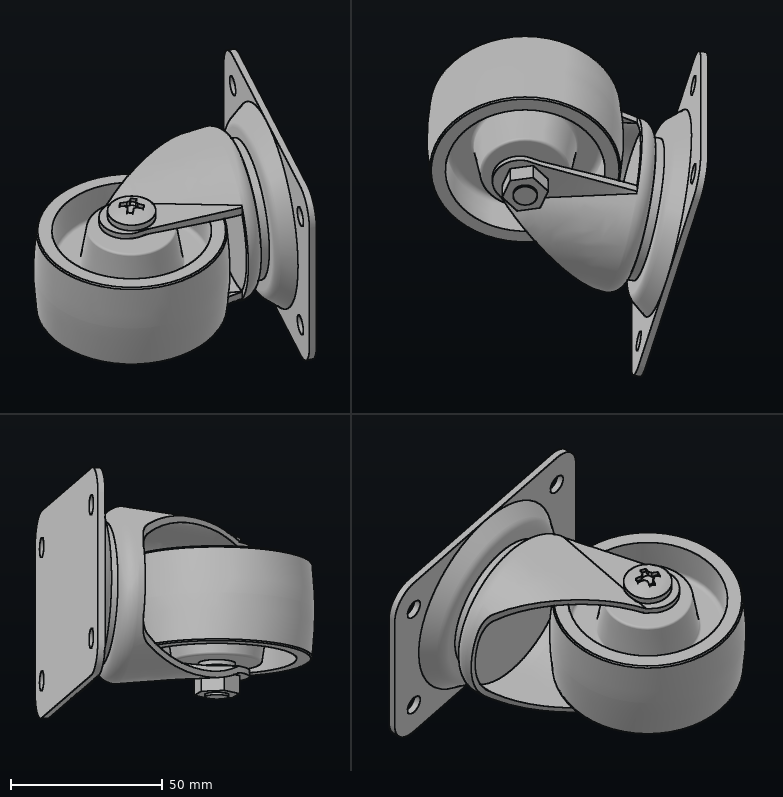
import cadquery as cq
import math


PLATE_LENGTH = 95.0
PLATE_WIDTH = 70.0
PLATE_THICKNESS = 2.5
PLATE_CORNER_RADIUS = 10.0
HOLE_SPACING_X = 75.0
HOLE_SPACING_Z = 45.0
HOLE_DIAMETER = 6.6
RACE_BASE_RADIUS = PLATE_WIDTH / 2
RACE_SHOULDER_RADIUS = 31.2
RACE_SHOULDER_DEPTH = 7.3
RACE_FACE_DEPTH = 9.0
NECK_RADIUS = 24.0

WHEEL_RADIUS = 32.5
AXLE_X = 20.0
AXLE_DEPTH = 55.5
TREAD_HALF_WIDTH = 16.0
TREAD_EDGE_RADIUS = 31.6
TREAD_CHAMFER = 0.5
RIM_INNER_RADIUS = 26.4
RIM_FLOOR_RADIUS = 26.0
RIM_FLOOR_FILLET = 1.8
WEB_HALF_THICKNESS = 3.0
HUB_FLOOR_RADIUS = 17.0
HUB_FLOOR_FILLET = 1.0
HUB_TOP_RADIUS = 15.0
HUB_HALF_WIDTH = 17.5
HUB_EDGE_FILLET = 1.0
BOSS_RADIUS = 6.1
BOSS_HALF_WIDTH = 19.1

FORK_TOP_DEPTH = 12.1
FORK_RADIUS = 29.5
FORK_TOP_FILLET = 5.5
FORK_THICKNESS = 2.1
LEG_START_DEPTH = 18.0
LEG_TIP_WALL_RADIUS = 24.4
PAD_HEIGHT = 22.0
PAD_START_DEPTH = 52.0
TIP_RADIUS = 9.2
TIP_CENTER_DEPTH = 57.2
TIP_DEPTH = TIP_CENTER_DEPTH + TIP_RADIUS
LEG_RIGHT_X = 22.6
LEFT_EDGE_DEPTH = 20.2
LEFT_EDGE_CORNER_X = -23.1
LEFT_EDGE_FILLET = 7.5
JOINT_SETBACK = 0.5

BOLT_RADIUS = 4.0
HEAD_RADIUS = 8.0
HEAD_RIM_HEIGHT = 2.3
HEAD_HEIGHT = 4.9
RECESS_ANGLE = -27.0
RECESS_REACH = 4.0
RECESS_ARM_WIDTH = 2.0
RECESS_ARM_DEPTH = 2.0
RECESS_CENTER_RADIUS = 2.1
RECESS_CONE_DEPTH = 1.0
NUT_ACROSS_FLATS = 13.4
NUT_HEIGHT = 6.1
NUT_ANGLE = 6.0
BOLT_PROTRUSION = 0.8


def tangent_point(point, center, radius, side):
    """Point where the line from an outside point touches a circle; side is +1 or -1."""
    dx = point[0] - center[0]
    dy = point[1] - center[1]
    angle = math.atan2(dy, dx) + side * math.acos(radius / math.hypot(dx, dy))
    return (center[0] + radius * math.cos(angle), center[1] + radius * math.sin(angle))


def axle_cylinder(radius, z_start, z_end):
    """Cylinder on the wheel axle."""
    return (
        cq.Workplane("XY", origin=(AXLE_X, -AXLE_DEPTH, z_start))
        .circle(radius)
        .extrude(z_end - z_start)
    )


def make_plate():
    plate = (
        cq.Workplane("XZ")
        .rect(PLATE_LENGTH, PLATE_WIDTH)
        .extrude(PLATE_THICKNESS)
        .edges("|Y")
        .fillet(PLATE_CORNER_RADIUS)
    )
    holes = (
        cq.Workplane("XZ")
        .rect(HOLE_SPACING_X, HOLE_SPACING_Z, forConstruction=True)
        .vertices()
        .circle(HOLE_DIAMETER / 2)
        .extrude(PLATE_THICKNESS)
    )
    cone_drop = RACE_SHOULDER_DEPTH - PLATE_THICKNESS
    cone_run = RACE_BASE_RADIUS - RACE_SHOULDER_RADIUS
    drop_left = RACE_FACE_DEPTH - RACE_SHOULDER_DEPTH
    setback = drop_left * math.hypot(cone_run, cone_drop) / cone_drop
    face_radius = RACE_SHOULDER_RADIUS - drop_left * cone_run / cone_drop - setback
    raceway = (
        cq.Workplane("XY")
        .moveTo(0, -PLATE_THICKNESS)
        .lineTo(RACE_BASE_RADIUS, -PLATE_THICKNESS)
        .lineTo(RACE_SHOULDER_RADIUS, -RACE_SHOULDER_DEPTH)
        .tangentArcPoint((face_radius, -RACE_FACE_DEPTH), relative=False)
        .lineTo(NECK_RADIUS, -RACE_FACE_DEPTH)
        .lineTo(NECK_RADIUS, -FORK_TOP_DEPTH)
        .lineTo(0, -FORK_TOP_DEPTH)
        .close()
        .revolve(360, (0, 0, 0), (0, 1, 0))
    )
    return plate.cut(holes).union(raceway)


def make_fork_cup():
    """Round cup at the top of the fork, open toward the wheel."""
    height = LEG_START_DEPTH - FORK_TOP_DEPTH
    return (
        cq.Workplane("XZ", origin=(0, -FORK_TOP_DEPTH, 0))
        .circle(FORK_RADIUS)
        .extrude(height)
        .faces(">Y")
        .edges()
        .fillet(FORK_TOP_FILLET)
        .faces("<Y")
        .workplane()
        .circle(FORK_RADIUS - FORK_THICKNESS)
        .cutBlind(FORK_THICKNESS - height)
    )


def leg_side_edge_x(depth):
    """X of the free edge of the legs, slanting from the cup to the tip."""
    slope = (AXLE_X + TIP_RADIUS - LEG_RIGHT_X) / (TIP_CENTER_DEPTH - LEG_START_DEPTH)
    return LEG_RIGHT_X + slope * (depth - LEG_START_DEPTH)


def leg_section(depth, inset):
    """Closed section across both legs: a round wall that runs into two flat pads."""
    progress = (depth - LEG_START_DEPTH) / (TIP_DEPTH - LEG_START_DEPTH)
    radius = FORK_RADIUS + progress * (LEG_TIP_WALL_RADIUS - FORK_RADIUS) - inset
    edge_x = leg_side_edge_x(depth)
    if depth == LEG_START_DEPTH:
        joint_x = edge_x - JOINT_SETBACK
        joint_z = math.sqrt(radius**2 - joint_x**2)
        edge_z = math.sqrt(radius**2 - edge_x**2)
    else:
        joint_z = PAD_HEIGHT - inset
        joint_x = math.sqrt(radius**2 - joint_z**2)
        edge_z = joint_z
    edge_x += inset
    return (
        cq.Workplane("XZ", origin=(0, -depth, 0))
        .moveTo(joint_x, joint_z)
        .threePointArc((-radius, 0), (joint_x, -joint_z))
        .lineTo(edge_x, -edge_z)
        .lineTo(edge_x, edge_z)
        .close()
        .val()
    )


def leg_block(inset):
    depths = (LEG_START_DEPTH, PAD_START_DEPTH, TIP_DEPTH)
    sections = [leg_section(depth, inset) for depth in depths]
    return cq.Workplane(cq.Solid.makeLoft(sections, True))


def leg_side_profile():
    """Side outline of the legs, extruded across both of them."""
    tip_center = (AXLE_X, -TIP_CENTER_DEPTH)
    corner = (LEFT_EDGE_CORNER_X, -LEFT_EDGE_DEPTH)
    right_top = (LEG_RIGHT_X, -LEG_START_DEPTH)
    tip_left = tangent_point(corner, tip_center, TIP_RADIUS, 1)
    tip_right = tangent_point(right_top, tip_center, TIP_RADIUS, -1)
    slant = math.atan2(tip_left[1] - corner[1], tip_left[0] - corner[0])
    setback = LEFT_EDGE_FILLET * math.tan(abs(slant) / 2)
    slant_start = (corner[0] + setback * math.cos(slant), corner[1] + setback * math.sin(slant))
    return (
        cq.Workplane("XY", origin=(0, 0, -FORK_RADIUS))
        .moveTo(-FORK_RADIUS, -LEG_START_DEPTH)
        .lineTo(-FORK_RADIUS, -LEFT_EDGE_DEPTH)
        .lineTo(corner[0] - setback, -LEFT_EDGE_DEPTH)
        .tangentArcPoint(slant_start, relative=False)
        .lineTo(*tip_left)
        .threePointArc((AXLE_X, -TIP_DEPTH), tip_right)
        .lineTo(*right_top)
        .close()
        .extrude(2 * FORK_RADIUS)
    )


def make_fork():
    legs = leg_block(0).cut(leg_block(FORK_THICKNESS)).intersect(leg_side_profile())
    bolt_hole = axle_cylinder(BOLT_RADIUS, -FORK_RADIUS, FORK_RADIUS)
    fork = make_fork_cup().union(legs).cut(bolt_hole)
    head_seat = axle_cylinder(HEAD_RADIUS, PAD_HEIGHT, FORK_RADIUS)
    return fork.cut(head_seat).cut(head_seat.mirror("XY"))


def wheel_half_profile():
    """Radial outline of the upper half of the wheel, in the XZ plane with the axle at X = 0."""
    floor = WEB_HALF_THICKNESS
    mid_crown_radius = WHEEL_RADIUS - (WHEEL_RADIUS - TREAD_EDGE_RADIUS) / 4
    return (
        cq.Workplane("XZ")
        .moveTo(BOLT_RADIUS, 0)
        .lineTo(BOLT_RADIUS, BOSS_HALF_WIDTH)
        .lineTo(BOSS_RADIUS, BOSS_HALF_WIDTH)
        .lineTo(BOSS_RADIUS, HUB_HALF_WIDTH)
        .lineTo(HUB_TOP_RADIUS - HUB_EDGE_FILLET, HUB_HALF_WIDTH)
        .tangentArcPoint((HUB_TOP_RADIUS, HUB_HALF_WIDTH - HUB_EDGE_FILLET), relative=False)
        .lineTo(HUB_FLOOR_RADIUS, floor + HUB_FLOOR_FILLET)
        .tangentArcPoint((HUB_FLOOR_RADIUS + HUB_FLOOR_FILLET, floor), relative=False)
        .lineTo(RIM_FLOOR_RADIUS - RIM_FLOOR_FILLET, floor)
        .tangentArcPoint((RIM_FLOOR_RADIUS, floor + RIM_FLOOR_FILLET), relative=False)
        .lineTo(RIM_INNER_RADIUS, TREAD_HALF_WIDTH)
        .lineTo(TREAD_EDGE_RADIUS - TREAD_CHAMFER, TREAD_HALF_WIDTH)
        .lineTo(TREAD_EDGE_RADIUS, TREAD_HALF_WIDTH - TREAD_CHAMFER)
        .threePointArc((mid_crown_radius, TREAD_HALF_WIDTH / 2), (WHEEL_RADIUS, 0))
        .close()
    )


def make_wheel():
    half = wheel_half_profile().revolve(360, (0, 0, 0), (0, 1, 0))
    return half.union(half.mirror("XY")).translate((AXLE_X, -AXLE_DEPTH, 0))


def make_recess():
    """Cross recess with a round center that ends in a cone, its mouth at Z = 0."""
    arm = cq.Workplane("XY").rect(2 * RECESS_REACH, RECESS_ARM_WIDTH).extrude(-RECESS_ARM_DEPTH)
    center = (
        cq.Workplane("XZ")
        .lineTo(RECESS_CENTER_RADIUS, 0)
        .lineTo(RECESS_CENTER_RADIUS, -RECESS_ARM_DEPTH)
        .lineTo(0, -RECESS_ARM_DEPTH - RECESS_CONE_DEPTH)
        .close()
        .revolve(360, (0, 0, 0), (0, 1, 0))
    )
    cross = arm.union(arm.rotate((0, 0, 0), (0, 0, 1), 90)).union(center)
    return cross.rotate((0, 0, 0), (0, 0, 1), RECESS_ANGLE)


def make_bolt():
    nut_face = -(PAD_HEIGHT + NUT_HEIGHT)
    shank = axle_cylinder(BOLT_RADIUS, nut_face - BOLT_PROTRUSION, PAD_HEIGHT)
    dome_rise = HEAD_HEIGHT - HEAD_RIM_HEIGHT
    dome_radius = (HEAD_RADIUS**2 + dome_rise**2) / (2 * dome_rise)
    half_radius = HEAD_RADIUS / 2
    half_drop = dome_radius - math.sqrt(dome_radius**2 - half_radius**2)
    head = (
        cq.Workplane("XZ")
        .lineTo(HEAD_RADIUS, 0)
        .lineTo(HEAD_RADIUS, HEAD_RIM_HEIGHT)
        .threePointArc((half_radius, HEAD_HEIGHT - half_drop), (0, HEAD_HEIGHT))
        .close()
        .revolve(360, (0, 0, 0), (0, 1, 0))
        .cut(make_recess().translate((0, 0, HEAD_HEIGHT)))
        .translate((AXLE_X, -AXLE_DEPTH, PAD_HEIGHT))
    )
    return shank.union(head)


def make_nut():
    across_corners = NUT_ACROSS_FLATS / math.cos(math.radians(30))
    return (
        cq.Workplane("XY")
        .polygon(6, across_corners)
        .circle(BOLT_RADIUS)
        .extrude(NUT_HEIGHT)
        .rotate((0, 0, 0), (0, 0, 1), NUT_ANGLE)
        .translate((AXLE_X, -AXLE_DEPTH, -PAD_HEIGHT - NUT_HEIGHT))
    )


plate = make_plate()
fork = make_fork()
wheel = make_wheel()
bolt = make_bolt()
nut = make_nut()

result = cq.Compound.makeCompound([plate.val(), fork.val(), wheel.val(), bolt.val(), nut.val()])